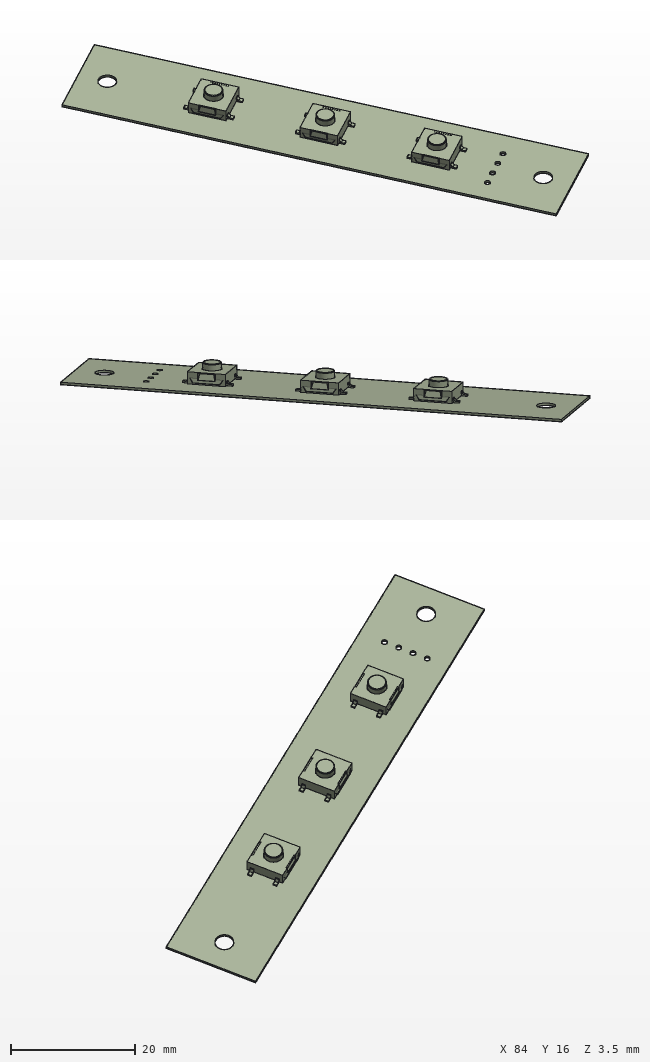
import cadquery as cq

board_length = 84.0
board_width = 16.0
board_thickness = 0.4

mount_hole_diameter = 3.0
mount_hole_x = 37.05
wire_hole_diameter = 0.9
wire_hole_x = 29.0
wire_hole_count = 4
first_wire_hole_y = -4.1
last_wire_hole_y = 3.5

switch_count = 3
switch_pitch = 19.0
case_side = 6.4
case_height = 2.0
cap_diameter = 3.0
cap_opening_diameter = 3.2
cap_gap_depth = 0.4
cap_edge_chamfer = 0.13
cap_height = 1.1

flare = 0.2
tongue_width = 2.9
tongue_bottom_z = 0.75
tongue_top_z = 1.85
tongue_top_width = 2.3
tongue_recess = 0.25
skirt_bottom_z = 0.25
skirt_top_z = 1.0
skirt_top_width = 5.55
skirt_bottom_width = 4.5

lead_width = 0.7
lead_offset_y = 2.3
lead_thickness = 0.25
lead_tip_x = 4.2
lead_bend_x = 3.6
lead_root_z = 0.75

case_half = case_side / 2


def make_board():
    mount_points = [(-mount_hole_x, 0), (mount_hole_x, 0)]
    wire_hole_pitch = (last_wire_hole_y - first_wire_hole_y) / (wire_hole_count - 1)
    wire_points = [(wire_hole_x, first_wire_hole_y + i * wire_hole_pitch) for i in range(wire_hole_count)]
    return (
        cq.Workplane("XY")
        .rect(board_length, board_width).extrude(-board_thickness)
        .faces(">Z").workplane(origin=(0, 0, 0))
        .pushPoints(mount_points).hole(mount_hole_diameter)
        .pushPoints(wire_points).hole(wire_hole_diameter)
    )


def side_profile(points, width):
    """Extrude a (y, z) outline symmetrically along X."""
    return cq.Workplane("YZ").polyline(points).close().extrude(width / 2, both=True)


def front_trapezoid(bottom_width, bottom_z, top_width, top_z):
    """Upright trapezoid that runs through the whole switch along Y."""
    outline = [
        (-bottom_width / 2, bottom_z),
        (bottom_width / 2, bottom_z),
        (top_width / 2, top_z),
        (-top_width / 2, top_z),
    ]
    return cq.Workplane("XZ").polyline(outline).close().extrude(case_side, both=True)


def make_skirt():
    """Wedge that leans out of the -Y side toward the board."""
    profile = [
        (-case_half, skirt_top_z),
        (-case_half - flare, skirt_bottom_z),
        (-case_half, skirt_bottom_z),
    ]
    trim = front_trapezoid(skirt_bottom_width, skirt_bottom_z, skirt_top_width, skirt_top_z)
    return side_profile(profile, skirt_top_width).intersect(trim)


def make_tongue_pocket():
    """Shallow pocket in the -Y side that the tongue leans out of."""
    profile = [
        (-case_half, tongue_bottom_z),
        (-case_half, tongue_top_z),
        (-case_half + tongue_recess, tongue_top_z),
        (-case_half + tongue_recess, tongue_bottom_z),
    ]
    return side_profile(profile, tongue_width)


def make_tongue():
    """Tongue that leans from the back of its pocket out past the -Y side."""
    back_y = -case_half + tongue_recess
    profile = [
        (back_y, tongue_top_z),
        (-case_half - flare, tongue_bottom_z),
        (back_y, tongue_bottom_z),
    ]
    trim = front_trapezoid(tongue_width, tongue_bottom_z, tongue_top_width, tongue_top_z)
    return side_profile(profile, tongue_width).intersect(trim)


def make_lead():
    """Strip that slopes down from the +X side to a flat foot on the board."""
    outline = [
        (case_half, lead_root_z),
        (lead_bend_x, lead_thickness),
        (lead_tip_x, lead_thickness),
        (lead_tip_x, 0),
        (lead_bend_x - lead_thickness, 0),
        (case_half, lead_root_z - lead_thickness),
    ]
    return cq.Workplane("XZ").polyline(outline).close().extrude(lead_width / 2, both=True)


def make_cap_gap():
    """Narrow ring groove in the case top around the cap."""
    return (
        cq.Workplane("XY").workplane(offset=case_height - cap_gap_depth)
        .circle(cap_opening_diameter / 2)
        .circle(cap_diameter / 2)
        .extrude(cap_gap_depth)
    )


def make_cap():
    cap = cq.Workplane("XY").circle(cap_diameter / 2).extrude(case_height + cap_height)
    return cap.faces(">Z").chamfer(cap_edge_chamfer)


def make_switch():
    """Switch centred on the origin, standing on the plane z = 0."""
    switch = cq.Workplane("XY").rect(case_side, case_side).extrude(case_height)
    switch = switch.cut(make_cap_gap()).union(make_cap())
    pocket = make_tongue_pocket()
    latch = make_tongue().union(make_skirt())
    lead = make_lead()
    for turn in (0, 180):
        switch = switch.cut(pocket.rotate((0, 0, 0), (0, 0, 1), turn))
        switch = switch.union(latch.rotate((0, 0, 0), (0, 0, 1), turn))
        for lead_y in (-lead_offset_y, lead_offset_y):
            placed_lead = lead.translate((0, lead_y, 0)).rotate((0, 0, 0), (0, 0, 1), turn)
            switch = switch.union(placed_lead)
    return switch


board = make_board()
switch = make_switch()
first_switch_x = -switch_pitch * (switch_count - 1) / 2
switches = [switch.translate((first_switch_x + i * switch_pitch, 0, 0)) for i in range(switch_count)]

result = cq.Compound.makeCompound([board.val(), *[placed.val() for placed in switches]])